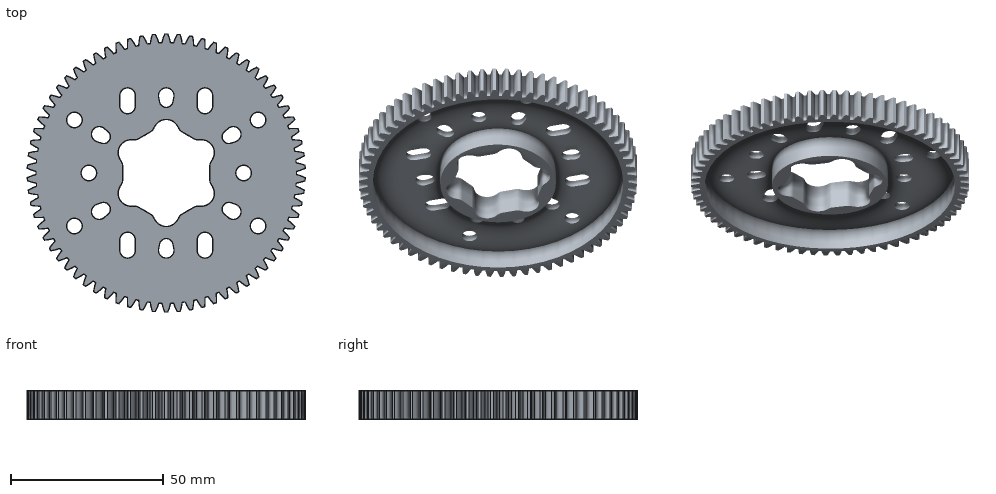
import cadquery as cq
import math

tooth_count = 70
outer_diameter = 91.4
thickness = 9.5

web_thickness = 2.4
hub_radius = 19.0
rim_inner_radius = 41.15

pressure_angle = math.radians(20)
dedendum_factor = 1.25
flank_points = 6

module = outer_diameter / (tooth_count + 2)
outer_radius = outer_diameter / 2
pitch_radius = module * tooth_count / 2
base_radius = pitch_radius * math.cos(pressure_angle)
root_radius = pitch_radius - dedendum_factor * module
tooth_pitch = 2 * math.pi / tooth_count

bolt_diameter = 5.0
bolt_circle_radius = 25.4
outer_bolt_radius = 34.8
outer_bolt_angles = (30, 150, 210, 330)
slot_angle = 60
small_bolt_diameter = 4.4
small_bolt_radius = 23.8

bore_apothem = 14.3
lobe_center_radius = 13.35
lobe_radius = 4.2
lobe_flank_angle = 60
bore_fillet = 2.5

pattern_angles = [30 + 60 * position for position in range(6)]


def polar(radius, angle):
    """Point at a radius and an angle in radians."""
    return (radius * math.cos(angle), radius * math.sin(angle))


def involute(local_pressure_angle):
    """Polar angle gained by the involute at a given pressure angle."""
    return math.tan(local_pressure_angle) - local_pressure_angle


def tooth_half_angle(radius):
    """Half of the angle spanned by a tooth at a given radius."""
    local_pressure_angle = math.acos(base_radius / radius)
    return tooth_pitch / 4 + involute(pressure_angle) - involute(local_pressure_angle)


def gear_blank():
    """Solid disc with involute teeth, one tooth centred on +Y."""
    step = (outer_radius - root_radius) / (flank_points - 1)
    flank_radii = [root_radius + i * step for i in range(flank_points)]
    root_half_angle = tooth_half_angle(root_radius)
    first_center = math.pi / 2

    outline = cq.Workplane("XY").moveTo(*polar(root_radius, first_center - root_half_angle))
    for tooth in range(tooth_count):
        center = first_center + tooth * tooth_pitch
        rising = [polar(r, center - tooth_half_angle(r)) for r in flank_radii]
        falling = [polar(r, center + tooth_half_angle(r)) for r in reversed(flank_radii)]
        next_root = polar(root_radius, center + tooth_pitch - root_half_angle)
        outline = outline.spline(rising[1:], includeCurrent=True)
        outline = outline.threePointArc(polar(outer_radius, center), falling[0])
        outline = outline.spline(falling[1:], includeCurrent=True)
        outline = outline.threePointArc(polar(root_radius, center + tooth_pitch / 2), next_root)
    return outline.close().extrude(thickness)


def underside_pocket():
    """Annular recess between hub and rim that leaves a web flush with the top face."""
    pocket_depth = thickness - web_thickness
    return cq.Workplane("XY").circle(rim_inner_radius).circle(hub_radius).extrude(pocket_depth)


def round_holes(points, diameter):
    """Through cutters at the given points."""
    return cq.Workplane("XY").pushPoints(points).circle(diameter / 2).extrude(thickness)


def lobed_bore():
    """Hexagon with flats facing +-X and a tapered round lobe on every corner."""
    hexagon_diameter = 2 * bore_apothem / math.cos(math.pi / 6)
    bore = cq.Workplane("XY").polygon(6, hexagon_diameter).extrude(thickness)
    bore = bore.rotate((0, 0, 0), (0, 0, 1), 30)

    tangent_angle = math.radians(lobe_flank_angle)
    tangent_x = lobe_center_radius + lobe_radius * math.cos(tangent_angle)
    tangent_y = lobe_radius * math.sin(tangent_angle)
    base_half_width = tangent_y + tangent_x / math.tan(tangent_angle)
    lobe = (
        cq.Workplane("XY")
        .moveTo(0, -base_half_width)
        .lineTo(tangent_x, -tangent_y)
        .threePointArc((lobe_center_radius + lobe_radius, 0), (tangent_x, tangent_y))
        .lineTo(0, base_half_width)
        .close()
        .extrude(thickness)
    )
    for angle in pattern_angles:
        bore = bore.union(lobe.rotate((0, 0, 0), (0, 0, 1), angle))

    junction_limit = lobe_center_radius + lobe_radius / 2

    def is_junction(edge):
        center = edge.Center()
        return math.hypot(center.x, center.y) < junction_limit

    return bore.edges("|Z").filter(is_junction).fillet(bore_fillet)


def teardrop_hole():
    """Large and small bolt holes on +X, blended by their common tangents."""
    large_radius = bolt_diameter / 2
    small_radius = small_bolt_diameter / 2
    center_distance = bolt_circle_radius - small_bolt_radius
    tangent_angle = math.acos((small_radius - large_radius) / center_distance)
    large_x, large_y = polar(large_radius, tangent_angle)
    small_x, small_y = polar(small_radius, tangent_angle)
    return (
        cq.Workplane("XY")
        .moveTo(bolt_circle_radius + large_x, -large_y)
        .threePointArc((bolt_circle_radius + large_radius, 0), (bolt_circle_radius + large_x, large_y))
        .lineTo(small_bolt_radius + small_x, small_y)
        .threePointArc((small_bolt_radius - small_radius, 0), (small_bolt_radius + small_x, -small_y))
        .close()
        .extrude(thickness)
    )


def straight_slots():
    """Slots along Y from the 60-degree bolt circle positions out to its full radius in Y."""
    slot_x, inner_y = polar(bolt_circle_radius, math.radians(slot_angle))
    center_y = (inner_y + bolt_circle_radius) / 2
    slot_length = bolt_circle_radius - inner_y + bolt_diameter
    centers = [(sx * slot_x, sy * center_y) for sx in (-1, 1) for sy in (-1, 1)]
    slots = cq.Workplane("XY").pushPoints(centers).slot2D(slot_length, bolt_diameter, 90)
    return slots.extrude(thickness)


outer_bolt_points = [polar(outer_bolt_radius, math.radians(angle)) for angle in outer_bolt_angles]
side_bolt_points = [(-bolt_circle_radius, 0), (bolt_circle_radius, 0)]

result = gear_blank().cut(underside_pocket()).cut(lobed_bore()).cut(straight_slots())
result = result.cut(round_holes(outer_bolt_points + side_bolt_points, bolt_diameter))
teardrop = teardrop_hole()
for angle in pattern_angles:
    result = result.cut(teardrop.rotate((0, 0, 0), (0, 0, 1), angle))